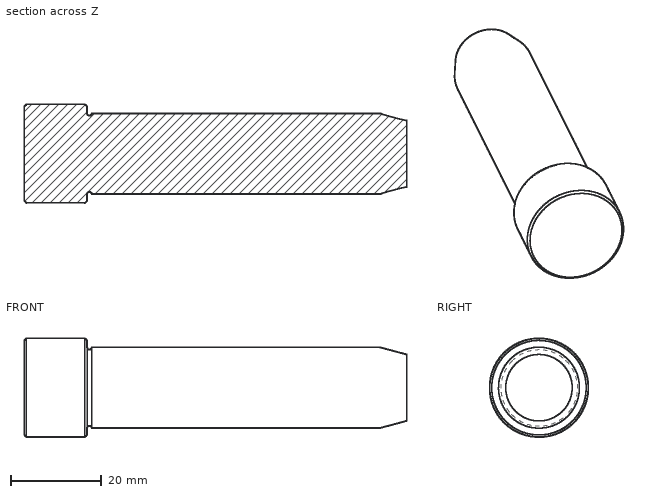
import cadquery as cq
import math

total_length = 85.0
head_diameter = 22.0
head_length = 14.0
head_edge_chamfer = 0.5
shank_diameter = 18.0

groove_width = 1.0
groove_depth = 0.5

taper_length = 6.0
taper_angle = 15.0

head_radius = head_diameter / 2
shank_radius = shank_diameter / 2
groove_radius = shank_radius - groove_depth
tip_radius = shank_radius - taper_length * math.tan(math.radians(taper_angle))


def make_head():
    """Cylindrical head with both rims chamfered."""
    head = cq.Workplane("YZ").circle(head_radius).extrude(head_length)
    return head.faces("<X or >X").chamfer(head_edge_chamfer)


def make_shank():
    """Revolved shank: round relief groove under the head, plain length, tapered tip."""
    groove_middle = head_length + groove_width / 2
    groove_end = head_length + groove_width
    taper_start = total_length - taper_length
    profile = (
        cq.Workplane("XZ")
        .moveTo(head_length, 0)
        .lineTo(head_length, shank_radius)
        .threePointArc((groove_middle, groove_radius), (groove_end, shank_radius))
        .lineTo(taper_start, shank_radius)
        .lineTo(total_length, tip_radius)
        .lineTo(total_length, 0)
        .close()
    )
    return profile.revolve(360, (0, 0, 0), (1, 0, 0))


result = make_head().union(make_shank())